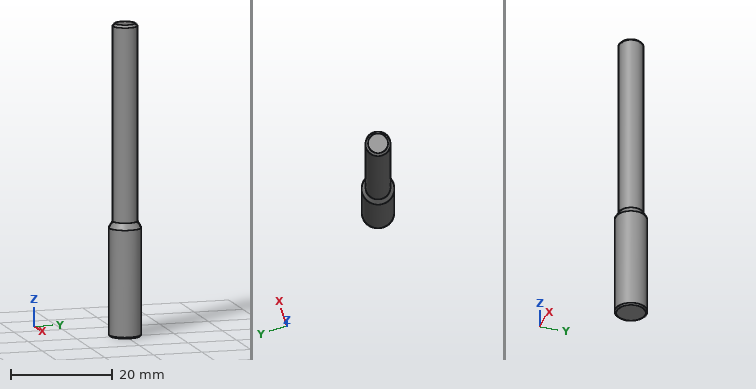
import cadquery as cq
import math

total_length = 63.0
head_diameter = 6.5
stem_diameter = 5.0

head_straight_length = 21.85
shoulder_half_angle = 30.0
shoulder_height = (head_diameter - stem_diameter) / 2 / math.tan(math.radians(shoulder_half_angle))
head_length = head_straight_length + shoulder_height

socket_depth = head_length / 2
socket_floor = head_length - socket_depth
stem_length = total_length - socket_floor

head_chamfer = 0.3
stem_chamfer = 0.5


def make_head():
    """Thick lower body with a bottom chamfer, a tapered shoulder and a socket for the stem."""
    head_radius = head_diameter / 2
    socket_radius = stem_diameter / 2
    profile = (
        cq.Workplane("XZ")
        .moveTo(0, 0)
        .lineTo(head_radius - head_chamfer, 0)
        .lineTo(head_radius, head_chamfer)
        .lineTo(head_radius, head_straight_length)
        .lineTo(socket_radius, head_length)
        .lineTo(socket_radius, socket_floor)
        .lineTo(0, socket_floor)
        .close()
    )
    return profile.revolve(360, (0, 0, 0), (0, 1, 0))


def make_stem():
    """Slim cylinder standing on the socket floor, chamfered at its free end."""
    blank = cq.Workplane("XY").workplane(offset=socket_floor).circle(stem_diameter / 2).extrude(stem_length)
    return blank.faces(">Z").edges().chamfer(stem_chamfer)


head = make_head()
stem = make_stem()

result = cq.Compound.makeCompound([head.val(), stem.val()])